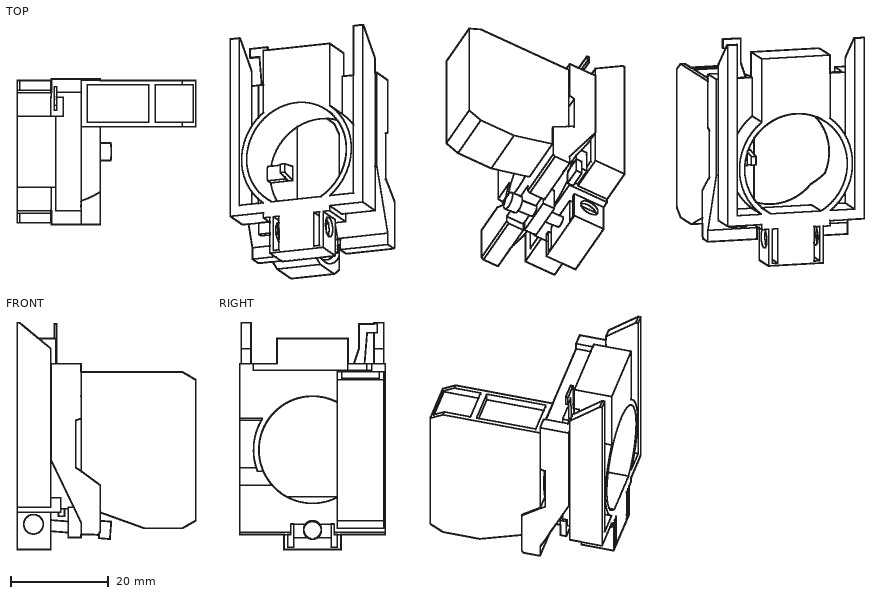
import cadquery as cq
import math

BORE_RADIUS = 10.97
RING_RADIUS = 12.1
BORE_Z = 20.45

GUIDE_DEPTH = 6.9
GUIDE_HALF_WIDTH = 14.6
RAIL_THICKNESS = 2.05
RAIL_TOP = 46.5
RAIL_TOP_FLAT = 0.5
RAIL_BACK_TOP = 41.2
FLOOR_BOTTOM = 8.75
FLOOR_TOP = 10.9
HEAD_HALF_WIDTH = 7.3
HEAD_DEPTH = 7.95
HEAD_TOP = 43.3
SADDLE_DEPTH = 8.9
SADDLE_BOTTOM = 7.65
SADDLE_TOP = 10.65

HOUSING_HALF_WIDTH = 5.85
HOUSING_WALL = 0.8
HOUSING_SLOT_WIDTH = 1.2
HOUSING_SLOT_BOTTOM = 0.5
PIVOT_X = 3.35
PIVOT_Z = 5.2
PIVOT_RADIUS = 2.0

FRAME_FRONT = 7.0
FRAME_BACK = 13.1
FRAME_HALF_WIDTH = 14.93
FRAME_TOP = 38.15
FRAME_RECESS_TOP = 36.75
FRAME_RECESS_HALF_WIDTH = 12.15
SLOPE_TOP = 18.2
SLOPE_BOTTOM = 5.55
JAW_BACK = 17.0
JAW_TOP = 13.2
JAW_BOTTOM = 3.1
JAW_CHAMFER = 0.45
JAW_GAP_HALF_WIDTH = 4.4
JAW_GAP_TOP = 5.25
NOTCH_FLOOR_X = 12.05
NOTCH_FLOOR_TOP = 26.5
NOTCH_FLOOR_BOTTOM = 16.8
NOTCH_EDGE_TOP = 26.9
NOTCH_EDGE_BOTTOM = 16.1

PAD_FRONT = 10.45
PAD_HALF_WIDTH = 3.85
PAD_BOTTOM = 2.45
PAD_TOP = 8.75
SCREW_TILT = 4.5
SHANK_RADIUS = 1.15
SCREW_HEAD_RADIUS = 1.8
SCREW_HEAD_LENGTH = 2.32
SCREW_LENGTH = 15.85

CONTACT_BACK = 36.6
CONTACT_Y_MIN = 5.05
CONTACT_Y_MAX = 14.6
CONTACT_TOP = 36.4
CONTACT_BOTTOM = 4.35
CONTACT_FRONT_BOTTOM = 9.0
CONTACT_SLOPE_END = 26.05
CONTACT_CHAMFER_X = 2.75
CONTACT_CHAMFER_Z = 1.6
POCKET_Y_MIN = 6.0
POCKET_Y_MAX = 13.65
LARGE_POCKET_X = (14.35, 26.95)
SMALL_POCKET_X = (28.25, 36.1)
POCKET_DEPTH = 1.55

SLIDE_X = (6.95, 9.4)
SLIDE_Y = (7.25, 11.1)
SLIDE_BOTTOM = 9.3
HOOK_X = (7.63, 8.15)
HOOK_TOP = 46.25
HOOK_LIP_BOTTOM = 44.4
HOOK_BEND_Z = 41.2
HOOK_TIP_Y = 13.3
HOOK_ARM_TOP_Y = (9.5, 11.2)
HOOK_ARM_FOOT_Y = (8.45, 10.7)
TAB_X = (8.4, 9.7)
TAB_Y = (8.0, 11.65)
TAB_BOTTOM = 6.85

FINGER_FRONT = 11.4
FINGER_Z = (18.93, 21.95)
NUB_FRONT = 8.55
NUB_Y_MIN = 6.0
NUB_WIDTH = 0.98
NUB_Z = (19.55, 21.3)


def box(x_range, y_range, z_range):
    """Box between two limits on each axis."""
    size = [high - low for low, high in (x_range, y_range, z_range)]
    corner = (x_range[0], y_range[0], z_range[0])
    return cq.Workplane("XY").box(*size, centered=False).translate(corner)


def centred_box(x_range, half_width, z_range):
    return box(x_range, (-half_width, half_width), z_range)


def side_plate(points, y_min, y_max):
    """Extrude an X-Z outline between two Y positions."""
    return cq.Workplane("XZ", origin=(0, y_max, 0)).polyline(points).close().extrude(y_max - y_min)


def cylinder_along_x(radius, x_min, x_max):
    return cq.Workplane("YZ", origin=(x_min, 0, BORE_Z)).circle(radius).extrude(x_max - x_min)


def make_guide():
    rail_outline = [
        (0, FLOOR_BOTTOM),
        (GUIDE_DEPTH, FLOOR_BOTTOM),
        (GUIDE_DEPTH, RAIL_BACK_TOP),
        (RAIL_TOP_FLAT, RAIL_TOP),
        (0, RAIL_TOP),
    ]
    rail_inside = GUIDE_HALF_WIDTH - RAIL_THICKNESS
    guide = side_plate(rail_outline, rail_inside, GUIDE_HALF_WIDTH)
    guide = guide.union(side_plate(rail_outline, -GUIDE_HALF_WIDTH, -rail_inside))
    return guide.union(centred_box((0, HEAD_DEPTH), HEAD_HALF_WIDTH, (BORE_Z, HEAD_TOP)))


def make_floor():
    """Guide floor, which also closes the bottom of the bore with a flat."""
    return centred_box((0, GUIDE_DEPTH), GUIDE_HALF_WIDTH, (FLOOR_BOTTOM, FLOOR_TOP))


def make_saddle():
    """Block under the ring that joins the guide to the screw housing."""
    return centred_box((0, SADDLE_DEPTH), HEAD_HALF_WIDTH, (SADDLE_BOTTOM, SADDLE_TOP))


def make_housing():
    housing = centred_box((0, GUIDE_DEPTH), HOUSING_HALF_WIDTH, (0, SADDLE_BOTTOM))
    slot_outside = HOUSING_HALF_WIDTH - HOUSING_WALL
    slot_inside = slot_outside - HOUSING_SLOT_WIDTH
    slot_z = (HOUSING_SLOT_BOTTOM, SADDLE_BOTTOM)
    for y_range in ((slot_inside, slot_outside), (-slot_outside, -slot_inside)):
        housing = housing.cut(box((0, GUIDE_DEPTH), y_range, slot_z))
    hole = (
        cq.Workplane("XZ", origin=(PIVOT_X, 0, PIVOT_Z))
        .circle(PIVOT_RADIUS)
        .extrude(HOUSING_HALF_WIDTH, both=True)
    )
    core = centred_box((0, GUIDE_DEPTH), slot_outside, (0, SADDLE_BOTTOM))
    return housing.cut(hole.cut(core))


def make_frame():
    outline = [
        (FRAME_FRONT, FRAME_TOP),
        (FRAME_BACK, FRAME_TOP),
        (FRAME_BACK, NOTCH_EDGE_TOP),
        (NOTCH_FLOOR_X, NOTCH_FLOOR_TOP),
        (NOTCH_FLOOR_X, NOTCH_FLOOR_BOTTOM),
        (FRAME_BACK, NOTCH_EDGE_BOTTOM),
        (JAW_BACK, JAW_TOP),
        (JAW_BACK, JAW_BOTTOM + JAW_CHAMFER),
        (JAW_BACK - JAW_CHAMFER, JAW_BOTTOM),
        (FRAME_BACK, JAW_BOTTOM),
        (FRAME_BACK, SLOPE_BOTTOM),
        (FRAME_FRONT, SLOPE_TOP),
    ]
    frame = side_plate(outline, -FRAME_HALF_WIDTH, FRAME_HALF_WIDTH)
    recess = centred_box((HEAD_DEPTH, FRAME_BACK), FRAME_RECESS_HALF_WIDTH, (FRAME_RECESS_TOP, FRAME_TOP))
    jaw_gap = centred_box((FRAME_BACK, JAW_BACK), JAW_GAP_HALF_WIDTH, (JAW_BOTTOM, JAW_GAP_TOP))
    return frame.cut(recess).cut(jaw_gap)


def make_contact_block():
    outline = [
        (FRAME_BACK, CONTACT_TOP),
        (CONTACT_BACK - CONTACT_CHAMFER_X, CONTACT_TOP),
        (CONTACT_BACK, CONTACT_TOP - CONTACT_CHAMFER_Z),
        (CONTACT_BACK, CONTACT_BOTTOM + CONTACT_CHAMFER_Z),
        (CONTACT_BACK - CONTACT_CHAMFER_X, CONTACT_BOTTOM),
        (CONTACT_SLOPE_END, CONTACT_BOTTOM),
        (FRAME_BACK, CONTACT_FRONT_BOTTOM),
    ]
    block = side_plate(outline, CONTACT_Y_MIN, CONTACT_Y_MAX)
    pocket_z = (CONTACT_TOP - POCKET_DEPTH, CONTACT_TOP)
    for x_range in (LARGE_POCKET_X, SMALL_POCKET_X):
        block = block.cut(box(x_range, (POCKET_Y_MIN, POCKET_Y_MAX), pocket_z))
    return block


def make_slide():
    slide = box(SLIDE_X, SLIDE_Y, (SLIDE_BOTTOM, FRAME_TOP))
    tab = box(TAB_X, TAB_Y, (TAB_BOTTOM, FLOOR_TOP))
    hook_outline = [
        (HOOK_TIP_Y, HOOK_TOP),
        (HOOK_ARM_TOP_Y[0], HOOK_TOP),
        (HOOK_ARM_TOP_Y[0], HOOK_BEND_Z),
        (HOOK_ARM_FOOT_Y[0], FRAME_TOP),
        (HOOK_ARM_FOOT_Y[1], FRAME_TOP),
        (HOOK_ARM_TOP_Y[1], HOOK_LIP_BOTTOM),
        (HOOK_TIP_Y, HOOK_LIP_BOTTOM),
    ]
    hook = cq.Workplane("YZ", origin=(HOOK_X[0], 0, 0)).polyline(hook_outline).close()
    return slide.union(tab).union(hook.extrude(HOOK_X[1] - HOOK_X[0]))


def make_finger():
    """Finger from the bore wall, ending in a nub that tapers towards the front."""
    nub_outline = [
        (NUB_FRONT, NUB_Z[0]),
        (FRAME_BACK, FINGER_Z[0]),
        (FRAME_BACK, FINGER_Z[1]),
        (NUB_FRONT, NUB_Z[1]),
    ]
    nub_side = NUB_Y_MIN + NUB_WIDTH
    finger = box((FINGER_FRONT, FRAME_BACK), (nub_side, RING_RADIUS), FINGER_Z)
    finger = finger.union(side_plate(nub_outline, NUB_Y_MIN, nub_side))
    return finger.intersect(cylinder_along_x(RING_RADIUS, 0, FRAME_BACK))


def make_screw():
    """Screw swung down about the pivot axis, with its head behind the jaws."""
    tilt = math.radians(SCREW_TILT)
    axis = cq.Vector(math.cos(tilt), 0, -math.sin(tilt))
    pivot = cq.Vector(PIVOT_X, 0, PIVOT_Z)
    head_start = pivot + axis * (SCREW_LENGTH - SCREW_HEAD_LENGTH)
    shank = cq.Solid.makeCylinder(SHANK_RADIUS, SCREW_LENGTH, pivot, axis)
    head = cq.Solid.makeCylinder(SCREW_HEAD_RADIUS, SCREW_HEAD_LENGTH, head_start, axis)
    return cq.Workplane(shank.fuse(head))


bored_body = (
    make_guide()
    .union(make_frame())
    .union(make_slide())
    .union(make_saddle())
    .union(cylinder_along_x(RING_RADIUS, 0, FRAME_BACK))
    .cut(cylinder_along_x(BORE_RADIUS, 0, JAW_BACK))
)
pad = centred_box((PAD_FRONT, FRAME_BACK), PAD_HALF_WIDTH, (PAD_BOTTOM, PAD_TOP))

result = (
    bored_body
    .union(make_floor())
    .union(make_housing())
    .union(pad)
    .union(make_screw())
    .union(make_contact_block())
    .union(make_finger())
)